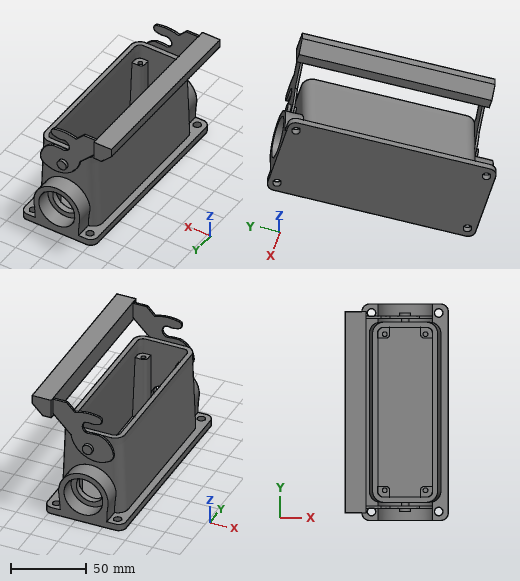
import cadquery as cq
BASE_WIDTH = 57.6
BASE_LENGTH = 144.0
BASE_THICKNESS = 5.0
BASE_CORNER_RADIUS = 5.3
SCREW_HOLE_DIAMETER = 5.5
SCREW_HOLE_INSET_X = 6.5
SCREW_HOLE_INSET_Y = 6.0

RIM_Z = 64.2
SHOULDER_Z = 58.5
SHELL_TOP_WIDTH = 43.2
SHELL_FOOT_WIDTH = 47.5
SHELL_LENGTH = 119.7
SHELL_CORNER_RADIUS = 7.5
WALL = 3.5

POST_TOP_Z = 52.5
POST_SIZE_X = 7.9
POST_SIZE_Y = 7.2
POST_CORNER_RADIUS = 2.7
POST_HOLE_DIAMETER = 3.2
POST_HOLE_DEPTH = 14.4
POST_HOLE_X = 13.5
POST_HOLE_Y = 51.8

PORT_Z = 20.0
PORT_RADIUS = 18.1
PORT_FOOT_HALF_WIDTH = 17.1
PORT_FOOT_BLEND_Z = 16.8
PORT_BORE_RADIUS = 14.1
PORT_BORE_DEPTH = 11.1
PORT_HOLE_RADIUS = 10.2

PIVOT_Z = 54.0
PEG_SHAFT_RADIUS = 2.5
PEG_HEAD_RADIUS = 3.6
PEG_HEAD_THICKNESS = 2.2

CHEEK_INNER_Y = 62.2
CHEEK_THICKNESS = 1.6
CHEEK_TOP_Z = 86.0
ARM_ROOT_X = -12.8
ARM_ROOT_Z = 61.2
BAR_OUTER_X = -39.9
BAR_SIZE = 14.0
BAR_TOP_Z = 86.8
BAR_CHAMFER = 7.8
BAR_LENGTH = 133.6

BASE_END_Y = BASE_LENGTH / 2
SHELL_END_Y = SHELL_LENGTH / 2
CAVITY_END_Y = SHELL_END_Y - WALL
CAVITY_TOP_HALF_WIDTH = SHELL_TOP_WIDTH / 2 - WALL
CHEEK_OUTER_Y = CHEEK_INNER_Y + CHEEK_THICKNESS
BAR_INNER_X = BAR_OUTER_X + BAR_SIZE
BAR_BOTTOM_Z = BAR_TOP_Z - BAR_SIZE
SIDES = (-1, 1)


def along_y(outline, start_y, end_y):
    """Extrude an outline drawn on the XZ plane from start_y to end_y."""
    return outline.extrude(start_y - end_y).translate((0, start_y, 0))


def cylinder_along_y(radius, center_z, start_y, end_y):
    return along_y(cq.Workplane("XZ").center(0, center_z).circle(radius), start_y, end_y)


def both_ends(body):
    """The given +Y end feature together with its mirror image at the -Y end."""
    return body.union(body.mirror("XZ"))


def leaning_block(inset):
    """The outer shell block, or the same block shrunk by an inset on all four sides."""
    top_x = SHELL_TOP_WIDTH / 2 - inset
    foot_x = SHELL_FOOT_WIDTH / 2 - inset
    end_y = SHELL_END_Y - inset
    right_side = [(foot_x, BASE_THICKNESS), (top_x, SHOULDER_Z), (top_x, RIM_Z)]
    left_side = [(-x, z) for x, z in reversed(right_side)]
    block = along_y(cq.Workplane("XZ").polyline(right_side + left_side).close(), -end_y, end_y)
    return block.edges("not #Z").fillet(SHELL_CORNER_RADIUS - inset)


def make_base():
    plate = cq.Workplane("XY").rect(BASE_WIDTH, BASE_LENGTH).extrude(BASE_THICKNESS)
    return plate.edges("|Z").fillet(BASE_CORNER_RADIUS)


def make_screw_holes():
    spacing_x = BASE_WIDTH - 2 * SCREW_HOLE_INSET_X
    spacing_y = BASE_LENGTH - 2 * SCREW_HOLE_INSET_Y
    corners = cq.Workplane("XY").rect(spacing_x, spacing_y, forConstruction=True).vertices()
    return corners.circle(SCREW_HOLE_DIAMETER / 2).extrude(BASE_THICKNESS)


def make_port_block():
    """Round boss at the +Y end, standing on a slightly waisted foot."""
    foot_x = PORT_FOOT_HALF_WIDTH
    blend_x = (PORT_RADIUS**2 - (PORT_Z - PORT_FOOT_BLEND_Z) ** 2) ** 0.5
    flank_x = foot_x + (blend_x - foot_x) / 4
    flank_z = (BASE_THICKNESS + PORT_FOOT_BLEND_Z) / 2
    outline = (
        cq.Workplane("XZ")
        .moveTo(-foot_x, 0)
        .lineTo(foot_x, 0)
        .lineTo(foot_x, BASE_THICKNESS)
        .threePointArc((flank_x, flank_z), (blend_x, PORT_FOOT_BLEND_Z))
        .threePointArc((0, PORT_Z + PORT_RADIUS), (-blend_x, PORT_FOOT_BLEND_Z))
        .threePointArc((-flank_x, flank_z), (-foot_x, BASE_THICKNESS))
        .close()
    )
    return along_y(outline, CAVITY_END_Y, BASE_END_Y)


def make_port_bore():
    """Stepped opening at the +Y end, from the port face into the cavity."""
    bore = cylinder_along_y(PORT_BORE_RADIUS, PORT_Z, BASE_END_Y - PORT_BORE_DEPTH, BASE_END_Y)
    hole = cylinder_along_y(PORT_HOLE_RADIUS, PORT_Z, CAVITY_END_Y, BASE_END_Y)
    return bore.union(hole)


def make_peg():
    """Headed pivot peg at the +Y end; the cheek plate fits between head and shell."""
    head_end_y = CHEEK_OUTER_Y + PEG_HEAD_THICKNESS
    shaft = cylinder_along_y(PEG_SHAFT_RADIUS, PIVOT_Z, SHELL_END_Y - WALL / 2, CHEEK_OUTER_Y)
    head = cylinder_along_y(PEG_HEAD_RADIUS, PIVOT_Z, CHEEK_OUTER_Y, head_end_y)
    return shaft.union(head)


def make_post(side_x, side_y):
    """Corner post; its outer sides run on into the shell walls."""
    inner_x = CAVITY_TOP_HALF_WIDTH - POST_SIZE_X
    inner_y = CAVITY_END_Y - POST_SIZE_Y
    outer_x = SHELL_FOOT_WIDTH / 2
    outer_y = SHELL_END_Y
    post = (
        cq.Workplane("XY", origin=(0, 0, BASE_THICKNESS))
        .moveTo(side_x * (inner_x + outer_x) / 2, side_y * (inner_y + outer_y) / 2)
        .rect(outer_x - inner_x, outer_y - inner_y)
        .extrude(POST_TOP_Z - BASE_THICKNESS)
    )
    inner_corner = cq.selectors.NearestToPointSelector(
        (side_x * inner_x, side_y * inner_y, POST_TOP_Z / 2)
    )
    hole = (
        cq.Workplane("XY", origin=(side_x * POST_HOLE_X, side_y * POST_HOLE_Y, POST_TOP_Z))
        .circle(POST_HOLE_DIAMETER / 2)
        .extrude(-POST_HOLE_DEPTH)
    )
    return post.edges("|Z").edges(inner_corner).fillet(POST_CORNER_RADIUS).cut(hole)


def make_housing():
    shell = leaning_block(0)
    cavity = leaning_block(WALL)
    housing = make_base().union(shell).union(both_ends(make_port_block()))
    housing = housing.cut(cavity)
    for side_x in SIDES:
        for side_y in SIDES:
            housing = housing.union(make_post(side_x, side_y).intersect(shell))
    housing = housing.cut(both_ends(make_port_bore())).cut(make_screw_holes())
    return housing.union(both_ends(make_peg()))


def make_cheek():
    """Plate at the +Y end with a catch hook and a round pivot lobe."""
    outline = (
        cq.Workplane("XZ")
        .moveTo(BAR_INNER_X, CHEEK_TOP_Z)
        .lineTo(-16.0, CHEEK_TOP_Z)
        .lineTo(-10.1, 79.9)
        .threePointArc((-1.5, 81.6), (7.2, 80.8))
        .threePointArc((9.6, 78.2), (7.9, 75.2))
        .threePointArc((5.3, 74.5), (2.6, 74.2))
        .lineTo(0, 74.6)
        .threePointArc((-4.6, 70.3), (-0.6, 65.8))
        .lineTo(2.9, 66.2)
        .lineTo(7.9, 66.2)
        .threePointArc((15.3, 61.2), (18.1, 53.5))
        .threePointArc((17.5, 50.3), (14.7, 47.5))
        .threePointArc((10.5, 45.6), (6.3, 45.0))
        .threePointArc((-5.8, 49.1), (ARM_ROOT_X, ARM_ROOT_Z))
        .lineTo(BAR_INNER_X, ARM_ROOT_Z + ARM_ROOT_X - BAR_INNER_X)
        .close()
    )
    pivot_hole = cylinder_along_y(PEG_SHAFT_RADIUS, PIVOT_Z, CHEEK_INNER_Y, CHEEK_OUTER_Y)
    return along_y(outline, CHEEK_INNER_Y, CHEEK_OUTER_Y).cut(pivot_hole)


def make_handle_bar():
    """Square bar with its lower outer edge cut off at 45 degrees."""
    outline = (
        cq.Workplane("XZ")
        .moveTo(BAR_OUTER_X, BAR_TOP_Z)
        .lineTo(BAR_INNER_X, BAR_TOP_Z)
        .lineTo(BAR_INNER_X, BAR_BOTTOM_Z)
        .lineTo(BAR_OUTER_X + BAR_CHAMFER, BAR_BOTTOM_Z)
        .lineTo(BAR_OUTER_X, BAR_BOTTOM_Z + BAR_CHAMFER)
        .close()
    )
    return along_y(outline, -BAR_LENGTH / 2, BAR_LENGTH / 2)


def make_lever():
    return make_handle_bar().union(both_ends(make_cheek()))


housing = make_housing()
lever = make_lever()
result = cq.Compound.makeCompound([housing.solids().val(), lever.solids().val()])